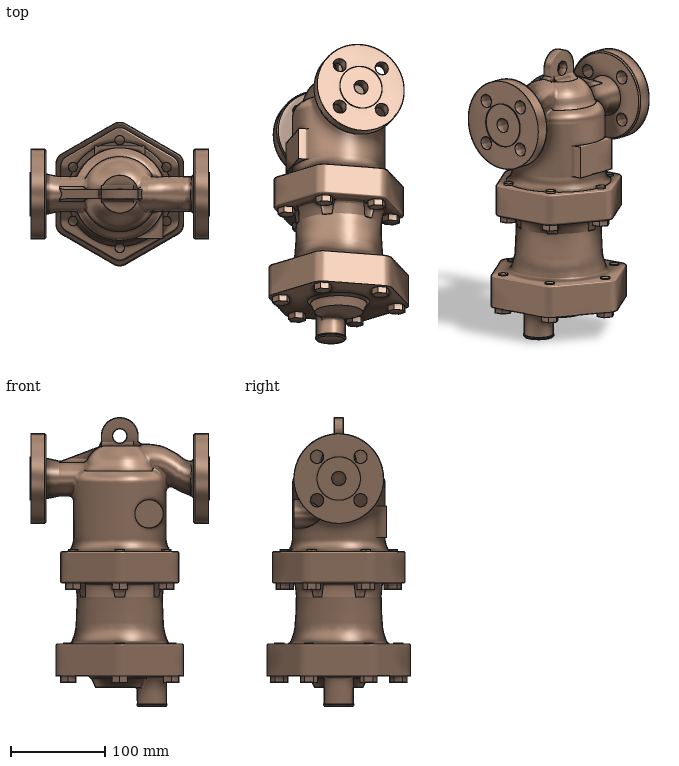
import cadquery as cq
import math


margin = 1.0

face_x = 95.0
raised_height = 1.0
raised_dia = 46.0
flange_dia = 95.0
flange_thickness = 16.0
flange_chamfer = 1.5
flange_bolt_circle = 65.0
flange_hole_dia = 14.0
bore_dia = 15.0
bore_depth = raised_height + flange_thickness
flange_back_x = face_x - raised_height - flange_thickness

pipe_radius = 18.5
neck_root_radius = 21.5
neck_cone_end_x = 64.0
neck_fillet = 5.0
blend_inset = 3.0
elbow_rise = 18.0
elbow_cone_start_x = 8.0
elbow_cone_start_radius = 14.0
elbow_cone_end_x = 24.0
elbow_bend_start_x = 30.0
elbow_bend_end_x = 77.0
elbow_flat_radius = 15.5
elbow_flat_shift = 2.5
elbow_flare_length = 3.0
elbow_fillet = 5.0

dome_top_z = 34.2
dome_flat_radius = 20.0
dome_edge_radius = 36.4
dome_arc_radius = 30.0
dome_edge_z = 15.8
shoulder_top_z = 8.1
shoulder_top_radius = 39.8
shoulder_bottom_z = -5.5
body_radius = 98.0 / 2
body_flare_top_z = -63.0
body_flare_bottom_z = -74.4
body_flare_radius = 52.0
body_foot_radius = 55.5

upper_flats = 125.0
upper_hex_top_z = -77.3
upper_hex_bottom_z = -110.5
upper_bolt_radius = 57.0
upper_stud_height = 2.0
lower_flats = 135.0
lower_hex_top_z = -175.0
lower_hex_bottom_z = -209.0
lower_bolt_radius = 63.0
lower_stud_height = 1.0
hex_corner_radius = 12.5
hex_edge_round = 2.0
stud_dia = 10.0
bolt_head_flats = 16.0
bolt_head_height = 6.7
corner_count = 6

waist_top_radius = 46.5
waist_radius = 90.0 / 2
waist_top_z = -114.2
waist_z = -125.4
middle_flare_top_z = -153.8
middle_flare_top_radius = 46.2
middle_flare_bottom_z = -172.2
middle_flare_bottom_radius = 50.6
middle_foot_radius = 54.0
bolt_relief_radius = 13.3

cover_foot_radius = 33.0
cover_top_radius = 30.0
cover_top_z = -211.8
cover_bottom_radius = 25.6
cover_bottom_z = -221.0
drain_x = 34.0
drain_radius = 31.0 / 2
drain_lip_radius = 32.0 / 2
drain_lip_height = 2.8
drain_chamfer = 1.5
drain_bottom_z = -241.43
drain_fillet = 3.0
drain_foot_round = 3.8

lug_center_z = 45.0
lug_radius = 19.5
lug_thickness = 10.0
lug_edge_round = 0.8
lug_hole_dia = 15.0
lug_base_width = 18.0
lug_base_height = 5.0
lug_toe_x = 25.5
lug_root_z = 28.0
rib_end_x = -64.0
rib_end_z = 17.6
rib_top_x = -22.0
rib_top_z = 33.5
rib_width = 9.5
rib_foot_width = 15.6
rib_foot_bottom_z = 16.8
rib_foot_height = 5.0

boss_x = 31.0
boss_z = -37.4
boss_radius = 15.0
boss_face_y = -47.2
boss_edge_round = 0.8
pad_width = 53.0
pad_face_y = 50.8
pad_depth = 15.0
pad_top_z = -29.0
pad_bottom_z = -62.6
pad_edge_round = 1.5
pad_fillet = 3.0


def bolt_points(radius):
    """One bolt at each corner of a joint flange, the first on +Y."""
    step = 2 * math.pi / corner_count
    angles = [math.pi / 2 + i * step for i in range(corner_count)]
    return [(radius * math.cos(a), radius * math.sin(a)) for a in angles]


def hexagon(flats, bottom_z, height):
    """Hexagonal prism with corners on +Y and -Y."""
    corner_dia = flats / math.cos(math.pi / corner_count)
    prism = cq.Workplane("XY").polygon(corner_count, corner_dia).extrude(height)
    prism = prism.rotate((0, 0, 0), (0, 0, 1), 90)
    return prism.translate((0, 0, bottom_z))


def joint_flange(flats, bottom_z, top_z, rounded_faces):
    plate = hexagon(flats, bottom_z, top_z - bottom_z)
    plate = plate.edges("|Z").fillet(hex_corner_radius)
    return plate.faces(rounded_faces).edges().fillet(hex_edge_round)


def joint_bolts(radius, bottom_z, top_z, stud_height):
    """Hexagon heads under a joint, with their stud ends above it."""
    shank = (
        cq.Workplane("XY", origin=(0, 0, bottom_z - bolt_head_height))
        .circle(stud_dia / 2)
        .extrude(top_z + stud_height - bottom_z + bolt_head_height)
    )
    bolt = shank.union(hexagon(bolt_head_flats, bottom_z - bolt_head_height, bolt_head_height))
    bolts = cq.Workplane("XY")
    for x, y in bolt_points(radius):
        bolts = bolts.add(bolt.translate((x, y, 0)))
    return bolts.combine()


def upper_body():
    """Revolved dome, shoulder and cylinder that flare out onto the upper joint."""
    drop = shoulder_top_z - shoulder_bottom_z
    run = body_radius - shoulder_top_radius
    shoulder_round = (drop**2 + run**2) / (2 * run)
    return (
        cq.Workplane("XZ")
        .moveTo(0, upper_hex_top_z)
        .lineTo(0, dome_top_z)
        .lineTo(dome_flat_radius, dome_top_z)
        .radiusArc((dome_edge_radius, dome_edge_z), dome_arc_radius)
        .tangentArcPoint((shoulder_top_radius, shoulder_top_z), relative=False)
        .radiusArc((body_radius, shoulder_bottom_z), shoulder_round)
        .lineTo(body_radius, body_flare_top_z)
        .tangentArcPoint((body_flare_radius, body_flare_bottom_z), relative=False)
        .tangentArcPoint((body_foot_radius, upper_hex_top_z), relative=False)
        .close()
        .revolve(360, (0, 0, 0), (0, 1, 0))
    )


def middle_body():
    """Revolved waist between the joints, cut back around the bolt heads of the upper joint."""
    top_round = upper_hex_bottom_z - waist_top_z
    body = (
        cq.Workplane("XZ")
        .moveTo(0, lower_hex_top_z)
        .lineTo(0, upper_hex_bottom_z)
        .lineTo(waist_top_radius + top_round, upper_hex_bottom_z)
        .radiusArc((waist_top_radius, waist_top_z), -top_round)
        .lineTo(waist_radius, waist_z)
        .lineTo(middle_flare_top_radius, middle_flare_top_z)
        .tangentArcPoint((middle_flare_bottom_radius, middle_flare_bottom_z), relative=False)
        .tangentArcPoint((middle_foot_radius, lower_hex_top_z), relative=False)
        .close()
        .revolve(360, (0, 0, 0), (0, 1, 0))
    )
    reliefs = (
        cq.Workplane("XY", origin=(0, 0, waist_z))
        .pushPoints(bolt_points(upper_bolt_radius))
        .circle(bolt_relief_radius)
        .extrude(upper_hex_bottom_z - waist_z)
    )
    return body.cut(reliefs)


def bottom_cover():
    """Conical boss under the lower joint, with the off-centre drain pipe."""
    lip_top_z = drain_bottom_z + drain_lip_height
    cone = (
        cq.Workplane("XZ")
        .moveTo(0, lower_hex_bottom_z)
        .lineTo(cover_foot_radius, lower_hex_bottom_z)
        .lineTo(cover_top_radius, cover_top_z)
        .lineTo(cover_bottom_radius, cover_bottom_z)
        .lineTo(0, cover_bottom_z)
        .close()
        .revolve(360, (0, 0, 0), (0, 1, 0))
    )
    pipe = (
        cq.Workplane("XY", origin=(drain_x, 0, lip_top_z))
        .circle(drain_radius)
        .extrude(lower_hex_bottom_z - lip_top_z)
    )
    lip = (
        cq.Workplane("XY", origin=(drain_x, 0, drain_bottom_z))
        .circle(drain_lip_radius)
        .extrude(drain_lip_height)
        .faces("<Z")
        .chamfer(drain_chamfer)
    )
    blend_zone = cq.selectors.BoxSelector(
        (drain_x - drain_radius - margin, -drain_radius, cover_bottom_z - margin),
        (cover_top_radius - margin, drain_radius, lower_hex_bottom_z - margin),
        boundingbox=True,
    )
    foot = (
        cq.Workplane("XZ", origin=(drain_x, 0, lower_hex_bottom_z))
        .lineTo(drain_radius + drain_foot_round, 0)
        .radiusArc((drain_radius, -drain_foot_round), -drain_foot_round)
        .lineTo(0, -drain_foot_round)
        .close()
        .revolve(360, (0, 0, 0), (0, 1, 0))
    )
    cover = cone.union(pipe).edges(blend_zone).fillet(drain_fillet)
    return cover.union(foot).union(lip)


def inlet_neck():
    """Pipe stub on -X that widens in a cone at its flange."""
    return (
        cq.Workplane("XZ")
        .moveTo(-flange_back_x, 0)
        .lineTo(-flange_back_x, neck_root_radius)
        .lineTo(-neck_cone_end_x, pipe_radius)
        .lineTo(0, pipe_radius)
        .lineTo(0, 0)
        .close()
        .revolve(360, (0, 0, 0), (1, 0, 0))
    )


def outlet_elbow():
    """S-bend that leaves the dome above the pipe axis and drops onto it, flatter in the middle."""
    cone = (
        cq.Workplane("YZ", origin=(elbow_cone_start_x, 0, elbow_rise))
        .circle(elbow_cone_start_radius)
        .workplane(offset=elbow_cone_end_x - elbow_cone_start_x)
        .circle(pipe_radius)
        .loft()
    )
    run = elbow_bend_end_x - elbow_bend_start_x
    half_angle = math.atan(elbow_rise / run)
    bend_radius = run / 2 / math.sin(2 * half_angle)
    quarter_x = bend_radius * math.sin(half_angle)
    quarter_drop = bend_radius * (1 - math.cos(half_angle))
    middle = (elbow_bend_start_x + run / 2, elbow_rise / 2)
    path = (
        cq.Workplane("XZ")
        .moveTo(elbow_bend_start_x, elbow_rise)
        .threePointArc((elbow_bend_start_x + quarter_x, elbow_rise - quarter_drop), middle)
        .threePointArc((elbow_bend_end_x - quarter_x, quarter_drop), (elbow_bend_end_x, 0))
    )
    straight = (
        cq.Workplane("YZ", origin=(elbow_cone_end_x, 0, elbow_rise))
        .circle(pipe_radius)
        .extrude(elbow_bend_start_x - elbow_cone_end_x)
    )
    slope_cos = math.cos(2 * half_angle)
    slope_sin = math.sin(2 * half_angle)
    section_center = (
        middle[0] + elbow_flat_shift * slope_sin,
        0,
        middle[1] + elbow_flat_shift * slope_cos,
    )
    middle_plane = cq.Plane(origin=section_center, xDir=(0, 1, 0), normal=(slope_cos, 0, -slope_sin))
    bend = (
        cq.Workplane("YZ", origin=(elbow_bend_start_x, 0, elbow_rise))
        .circle(pipe_radius)
        .copyWorkplane(cq.Workplane(middle_plane))
        .ellipse(pipe_radius, elbow_flat_radius)
        .copyWorkplane(cq.Workplane("YZ", origin=(elbow_bend_end_x, 0, 0)))
        .circle(pipe_radius)
        .sweep(path, multisection=True)
    )
    flare_start_x = flange_back_x - elbow_flare_length
    flare = (
        cq.Workplane("XZ")
        .moveTo(flare_start_x, 0)
        .lineTo(flare_start_x, pipe_radius)
        .radiusArc((flange_back_x, pipe_radius + elbow_flare_length), -elbow_flare_length)
        .lineTo(flange_back_x, 0)
        .close()
        .revolve(360, (0, 0, 0), (1, 0, 0))
    )
    return cone.union(straight).union(bend).union(flare)


def pipe_flange():
    """Flange on the +X side, without its holes."""
    disc = (
        cq.Workplane("YZ", origin=(flange_back_x, 0, 0))
        .circle(flange_dia / 2)
        .extrude(flange_thickness)
        .faces("<X")
        .chamfer(flange_chamfer)
    )
    raised = (
        cq.Workplane("YZ", origin=(flange_back_x, 0, 0))
        .circle(raised_dia / 2)
        .extrude(flange_thickness + raised_height)
    )
    return disc.union(raised)


def flange_holes():
    spacing = flange_bolt_circle * math.sqrt(0.5)
    bolt_holes = (
        cq.Workplane("YZ", origin=(flange_back_x, 0, 0))
        .rect(spacing, spacing, forConstruction=True)
        .vertices()
        .circle(flange_hole_dia / 2)
        .extrude(flange_thickness)
    )
    bore = (
        cq.Workplane("YZ", origin=(face_x - bore_depth, 0, 0))
        .circle(bore_dia / 2)
        .extrude(bore_depth)
    )
    return bolt_holes.union(bore)


def lifting_lug():
    """Eye plate on the dome with a concave base and a sloping toe on the outlet side."""
    base_top_z = dome_top_z + lug_base_height
    plate = (
        cq.Workplane("XZ", origin=(0, lug_thickness / 2, 0))
        .moveTo(-lug_radius, lug_root_z)
        .lineTo(-lug_radius, lug_center_z)
        .threePointArc((0, lug_center_z + lug_radius), (lug_radius, lug_center_z))
        .lineTo(lug_radius, base_top_z)
        .lineTo(lug_toe_x, dome_top_z)
        .lineTo(lug_toe_x, lug_root_z)
        .close()
        .extrude(lug_thickness)
        .faces("<Y or >Y")
        .edges()
        .fillet(lug_edge_round)
    )
    base = (
        cq.Workplane("YZ", origin=(-lug_radius, 0, 0))
        .moveTo(-lug_base_width / 2, lug_root_z)
        .lineTo(-lug_base_width / 2, dome_top_z)
        .radiusArc((-lug_thickness / 2, base_top_z), -lug_base_height)
        .lineTo(lug_thickness / 2, base_top_z)
        .radiusArc((lug_base_width / 2, dome_top_z), -lug_base_height)
        .lineTo(lug_base_width / 2, lug_root_z)
        .close()
        .extrude(2 * lug_radius - lug_base_height)
    )
    return plate.union(base)


def lug_hole():
    return (
        cq.Workplane("XZ", origin=(0, lug_thickness, lug_center_z))
        .circle(lug_hole_dia / 2)
        .extrude(2 * lug_thickness)
    )


def rib_wedge(width):
    """Sloping wedge of a given width, from the inlet neck up to the lug."""
    return (
        cq.Workplane("XZ", origin=(0, width / 2, 0))
        .moveTo(rib_end_x, 0)
        .lineTo(rib_end_x, rib_end_z)
        .lineTo(rib_top_x, rib_top_z)
        .lineTo(-lug_radius, dome_top_z + lug_base_height)
        .lineTo(0, dome_top_z)
        .lineTo(0, 0)
        .close()
        .extrude(width)
    )


def rib():
    """Sloping rib with concave sides where it stands on the inlet neck."""
    top_z = rib_foot_bottom_z + rib_foot_height
    foot = (
        cq.Workplane("YZ", origin=(rib_end_x, 0, 0))
        .moveTo(-rib_foot_width / 2, 0)
        .lineTo(-rib_foot_width / 2, rib_foot_bottom_z)
        .radiusArc((-rib_width / 2, top_z), -rib_foot_height)
        .lineTo(rib_width / 2, top_z)
        .radiusArc((rib_foot_width / 2, rib_foot_bottom_z), -rib_foot_height)
        .lineTo(rib_foot_width / 2, 0)
        .close()
        .extrude(-rib_end_x)
    )
    return rib_wedge(rib_width).union(rib_wedge(rib_foot_width).intersect(foot))


def front_boss():
    """Round boss whose flat face looks toward -Y."""
    return (
        cq.Workplane("XZ", origin=(boss_x, boss_face_y, boss_z))
        .circle(boss_radius)
        .extrude(boss_face_y)
        .faces("<Y")
        .fillet(boss_edge_round)
    )


def back_pad():
    """Flat plate pad on +Y with a rounded top edge."""
    return (
        cq.Workplane("XY", origin=(0, pad_face_y - pad_depth / 2, pad_bottom_z))
        .rect(pad_width, pad_depth)
        .extrude(pad_top_z - pad_bottom_z)
        .faces(">Y")
        .edges(">Z")
        .fillet(pad_edge_round)
    )


def blended_casting():
    """Upper body with its back pad, inlet neck, outlet elbow and rib, and their fillets."""
    inlet_zone = cq.selectors.BoxSelector(
        (-neck_cone_end_x + margin, -body_radius, -body_radius),
        (-dome_edge_radius + blend_inset, body_radius, dome_edge_z + margin),
        boundingbox=True,
    )
    outlet_zone = cq.selectors.BoxSelector(
        (dome_flat_radius - blend_inset, -pipe_radius - margin, -body_radius),
        (body_radius + margin, pipe_radius + margin, elbow_rise + pipe_radius + margin),
        boundingbox=True,
    )
    pad_zone = cq.selectors.BoxSelector(
        (-pad_width / 2 - margin, 0, pad_bottom_z - margin),
        (pad_width / 2 + margin, body_radius - margin, pad_top_z + margin),
        boundingbox=True,
    )
    body = upper_body().union(back_pad())
    body = body.edges(pad_zone).edges("|Z").fillet(pad_fillet)
    body = body.union(inlet_neck())
    body = body.edges(inlet_zone).fillet(neck_fillet)
    body = body.union(outlet_elbow())
    body = body.edges(outlet_zone).fillet(elbow_fillet)
    return body.union(rib())


def pipe_ends(end):
    """One copy of a pipe end feature on +X and one on -X."""
    return end.union(end.mirror("YZ"))


result = (
    blended_casting()
    .union(lifting_lug())
    .union(front_boss())
    .union(joint_flange(upper_flats, upper_hex_bottom_z, upper_hex_top_z, "<Z or >Z"))
    .union(joint_bolts(upper_bolt_radius, upper_hex_bottom_z, upper_hex_top_z, upper_stud_height))
    .union(middle_body())
    .union(joint_flange(lower_flats, lower_hex_bottom_z, lower_hex_top_z, ">Z"))
    .union(joint_bolts(lower_bolt_radius, lower_hex_bottom_z, lower_hex_top_z, lower_stud_height))
    .union(bottom_cover())
    .union(pipe_ends(pipe_flange()))
    .cut(pipe_ends(flange_holes()))
    .cut(lug_hole())
)